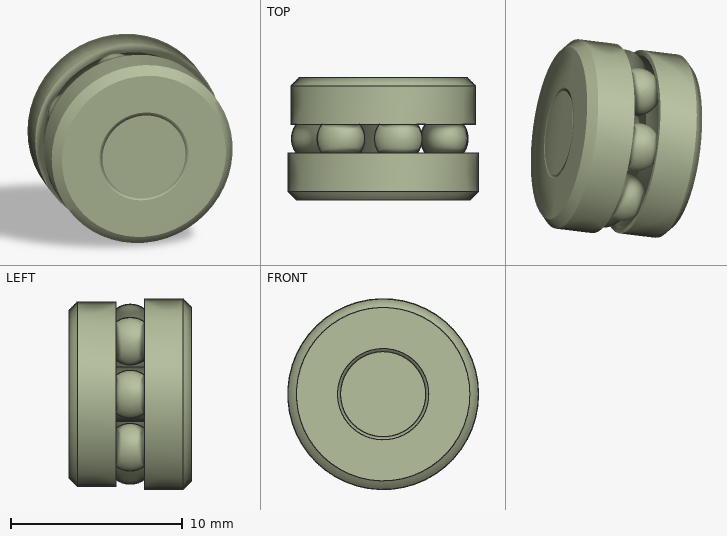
import cadquery as cq


front_washer_diameter = 11.1125
rear_washer_diameter = 10.76
overall_length = 7.14375
washer_thickness = 2.743
edge_chamfer = 0.508
bore_diameter = 3.43
countersink_diameter = 5.31

ball_count = 7
ball_diameter = 2.778
ball_circle_radius = 3.95
first_ball_angle = 180.0

pin_diameter = 3.175
head_diameter = 4.95

outer_face = overall_length / 2
inner_face = outer_face - washer_thickness
countersink_start = outer_face - (countersink_diameter - bore_diameter) / 2
head_start = outer_face - (head_diameter - pin_diameter) / 2

ball_radius = ball_diameter / 2


def revolve_about_y(profile):
    """Turn a closed XY half-profile into a solid around the Y axis."""
    return profile.revolve(360, (0, 0, 0), (0, 1, 0))


def make_washer(outside_diameter):
    """Washer on the +Y side: chamfered rim, 90 degree countersunk bore, ball groove."""
    outside_radius = outside_diameter / 2
    bore_radius = bore_diameter / 2
    blank = revolve_about_y(
        cq.Workplane("XY")
        .moveTo(bore_radius, inner_face)
        .lineTo(outside_radius, inner_face)
        .lineTo(outside_radius, outer_face - edge_chamfer)
        .lineTo(outside_radius - edge_chamfer, outer_face)
        .lineTo(countersink_diameter / 2, outer_face)
        .lineTo(bore_radius, countersink_start)
        .close()
    )
    ball_track = revolve_about_y(
        cq.Workplane("XY").moveTo(ball_circle_radius, 0).circle(ball_radius)
    )
    return blank.cut(ball_track)


def make_ball(angle):
    """One ball on the ball circle, turned about Y from the +X axis."""
    return (
        cq.Workplane("XY")
        .sphere(ball_radius)
        .translate((ball_circle_radius, 0, 0))
        .rotate((0, 0, 0), (0, 1, 0), angle)
    )


def make_pin():
    """Pin with a flush 90 degree conical head at each end."""
    pin_radius = pin_diameter / 2
    head_radius = head_diameter / 2
    return revolve_about_y(
        cq.Workplane("XY")
        .moveTo(0, -outer_face)
        .lineTo(head_radius, -outer_face)
        .lineTo(pin_radius, -head_start)
        .lineTo(pin_radius, head_start)
        .lineTo(head_radius, outer_face)
        .lineTo(0, outer_face)
        .close()
    )


rear_washer = make_washer(rear_washer_diameter)
front_washer = make_washer(front_washer_diameter).mirror("XZ")
balls = [
    make_ball(first_ball_angle + index * 360.0 / ball_count)
    for index in range(ball_count)
]
pin = make_pin()

result = cq.Compound.makeCompound(
    [front_washer.val(), rear_washer.val(), *[ball.val() for ball in balls], pin.val()]
)